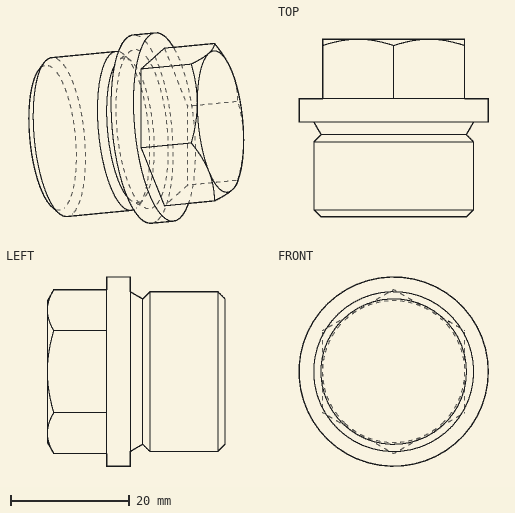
import cadquery as cq
import math

flange_diameter = 32.0
flange_thickness = 4.0
shank_diameter = 27.0
overall_length = 30.0
head_height = 10.0
head_across_flats = 24.0
head_chamfer_angle = 30.0
undercut_length = 2.08
chamfer = 1.2

flange_radius = flange_diameter / 2
shank_radius = shank_diameter / 2
chamfered_radius = shank_radius - chamfer

flange_front = -flange_thickness
undercut_end = flange_front - undercut_length
shank_end = head_height - overall_length


def make_body():
    """Flange, conical undercut and chamfered shank as one revolved profile."""
    profile = [
        (0, 0),
        (flange_radius, 0),
        (flange_radius, flange_front),
        (shank_radius, flange_front),
        (chamfered_radius, undercut_end),
        (shank_radius, undercut_end - chamfer),
        (shank_radius, shank_end + chamfer),
        (chamfered_radius, shank_end),
        (0, shank_end),
    ]
    return cq.Workplane("XY").polyline(profile).close().revolve(360, (0, 0), (0, 1))


def make_head():
    """Hexagon with flats facing +X and -X, its corners cut by a cone at the end."""
    flat_radius = head_across_flats / 2
    corner_radius = flat_radius / math.cos(math.radians(30))
    corner_drop = (corner_radius - flat_radius) * math.tan(math.radians(head_chamfer_angle))
    corners = [
        (
            corner_radius * math.sin(math.radians(60 * i)),
            corner_radius * math.cos(math.radians(60 * i)),
        )
        for i in range(6)
    ]
    hexagon = cq.Workplane("XZ").polyline(corners).close().extrude(-head_height)
    envelope_profile = [
        (0, 0),
        (corner_radius, 0),
        (corner_radius, head_height - corner_drop),
        (flat_radius, head_height),
        (0, head_height),
    ]
    envelope = cq.Workplane("XY").polyline(envelope_profile).close().revolve(360, (0, 0), (0, 1))
    return hexagon.intersect(envelope)


result = make_body().union(make_head())